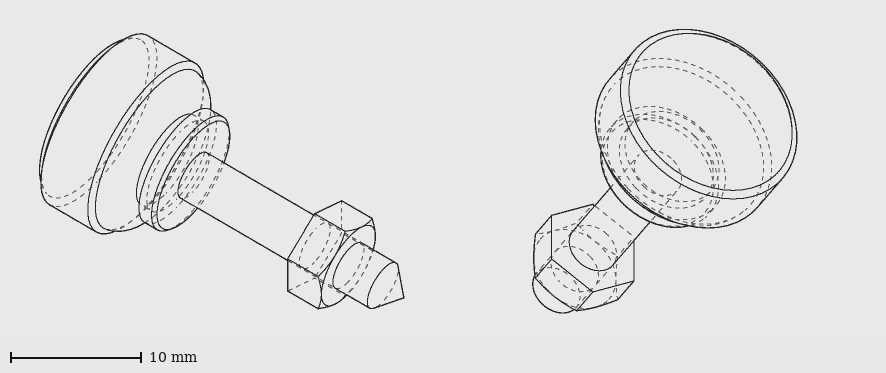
import cadquery as cq
import math

HEAD_RADIUS = 7.5
HEAD_LENGTH = 7.5
SHOULDER_RADIUS = 7.0
FRONT_ROUND = 1.0
BACK_ROUND = 2.0
BAND_START = 1.0
BAND_END = 5.45
BAND_CHAMFER = 0.33

NECK_RADIUS = 4.0
FLANGE_RADIUS = 5.0
FLANGE_START = 8.5
FLANGE_END = 10.0
FLANGE_CHAMFER = 0.3

SHANK_RADIUS = 2.0
TOTAL_LENGTH = 30.0
POINT_START = TOTAL_LENGTH - SHANK_RADIUS

NUT_START = 21.5
NUT_THICKNESS = 3.2
NUT_ACROSS_FLATS = 7.0
NUT_CORNER_RADIUS = NUT_ACROSS_FLATS / math.sqrt(3)
NUT_CHAMFER_ANGLE = math.radians(30)


def point_on_round(center, radius, x):
    """Point of the upper half of a round at axial position x."""
    return (x, center[1] + math.sqrt(radius**2 - (x - center[0]) ** 2))


def middle_of_round(center, radius, start, end):
    """Point of a round halfway in angle between two of its points."""
    start_angle = math.atan2(start[1] - center[1], start[0] - center[0])
    end_angle = math.atan2(end[1] - center[1], end[0] - center[0])
    angle = (start_angle + end_angle) / 2
    return (center[0] + radius * math.cos(angle), center[1] + radius * math.sin(angle))


def make_screw():
    """Knob head, neck, flange and pointed shank, turned as one piece."""
    front_center = (FRONT_ROUND, SHOULDER_RADIUS - FRONT_ROUND)
    front_start = (0, front_center[1])
    front_end = point_on_round(front_center, FRONT_ROUND, BAND_START - BAND_CHAMFER)
    front_middle = middle_of_round(front_center, FRONT_ROUND, front_start, front_end)

    back_center = (HEAD_LENGTH - BACK_ROUND, SHOULDER_RADIUS - BACK_ROUND)
    back_start = point_on_round(back_center, BACK_ROUND, BAND_END + BAND_CHAMFER)
    back_end = (HEAD_LENGTH, back_center[1])
    back_middle = middle_of_round(back_center, BACK_ROUND, back_start, back_end)

    profile = (
        cq.Workplane("XY")
        .lineTo(*front_start)
        .threePointArc(front_middle, front_end)
        .lineTo(BAND_START, HEAD_RADIUS)
        .lineTo(BAND_END, HEAD_RADIUS)
        .lineTo(*back_start)
        .threePointArc(back_middle, back_end)
        .lineTo(HEAD_LENGTH, NECK_RADIUS)
        .lineTo(FLANGE_START, NECK_RADIUS)
        .lineTo(FLANGE_START, FLANGE_RADIUS)
        .lineTo(FLANGE_END - FLANGE_CHAMFER, FLANGE_RADIUS)
        .lineTo(FLANGE_END, FLANGE_RADIUS - FLANGE_CHAMFER)
        .lineTo(FLANGE_END, SHANK_RADIUS)
        .lineTo(POINT_START, SHANK_RADIUS)
        .lineTo(TOTAL_LENGTH, 0)
        .close()
    )
    return profile.revolve(360, (0, 0, 0), (1, 0, 0))


def make_nut():
    """Hexagonal nut with corners on +Z and -Z, chamfered on its +X end."""
    corners = [
        (
            NUT_CORNER_RADIUS * math.sin(math.radians(60 * i)),
            NUT_CORNER_RADIUS * math.cos(math.radians(60 * i)),
        )
        for i in range(6)
    ]
    hexagon = (
        cq.Workplane("YZ", origin=(NUT_START, 0, 0))
        .polyline(corners)
        .close()
        .circle(SHANK_RADIUS)
        .extrude(NUT_THICKNESS)
    )

    nut_end = NUT_START + NUT_THICKNESS
    end_face_radius = NUT_ACROSS_FLATS / 2
    cone_drop = (NUT_CORNER_RADIUS - end_face_radius) * math.tan(NUT_CHAMFER_ANGLE)
    envelope = (
        cq.Workplane("XY")
        .moveTo(NUT_START, 0)
        .lineTo(NUT_START, NUT_CORNER_RADIUS)
        .lineTo(nut_end - cone_drop, NUT_CORNER_RADIUS)
        .lineTo(nut_end, end_face_radius)
        .lineTo(nut_end, 0)
        .close()
        .revolve(360, (0, 0, 0), (1, 0, 0))
    )
    return hexagon.intersect(envelope)


screw = make_screw()
nut = make_nut()
result = cq.Compound.makeCompound([screw.val(), *nut.solids().vals()])